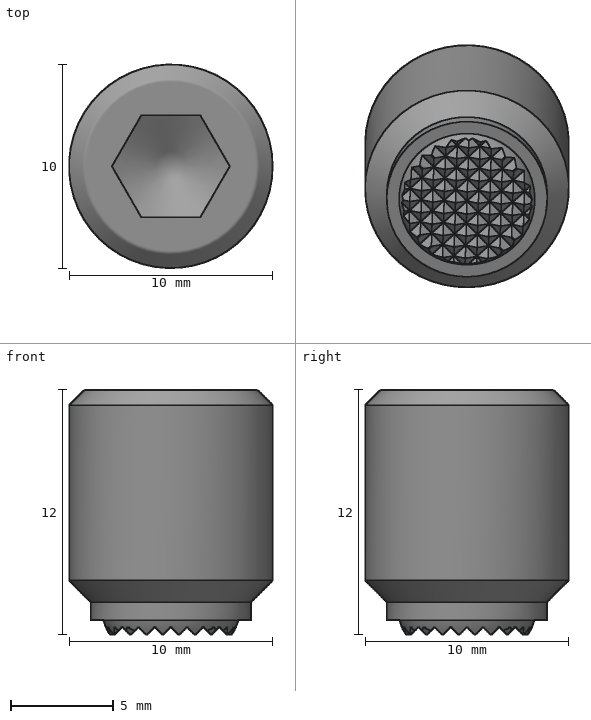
import cadquery as cq
import math

screw_diameter = 10.0
total_height = 12.0
screw_radius = screw_diameter / 2
nose_bottom = 0.72
nose_height = 0.88
nose_radius = 3.94
top_chamfer = 0.75
top_round_radius = 0.24
nose_top = nose_bottom + nose_height
shoulder_top = nose_top + screw_radius - nose_radius

socket_across_flats = 5.0
socket_wall_depth = 4.0
drill_point_angle = 120.0
socket_across_corners = socket_across_flats / math.cos(math.radians(30))
drill_point_radius = socket_across_corners / 2
drill_point_depth = drill_point_radius / math.tan(math.radians(drill_point_angle / 2))

ball_radius = 3.5
ball_flat_radius = 3.0
ball_center_height = math.sqrt(ball_radius**2 - ball_flat_radius**2)
groove_pitch = 0.79
groove_depth = 0.37
grooves_each_side = 3


def make_ball_blank():
    """Full sphere, seated at its height on the screw axis."""
    return cq.Workplane("XY").sphere(ball_radius).translate((0, 0, ball_center_height))


def make_screw_blank():
    """Turned screw body with a nose, a 45 degree shoulder and a rounded top chamfer."""
    blank = (
        cq.Workplane("XZ")
        .moveTo(0, nose_bottom)
        .lineTo(nose_radius, nose_bottom)
        .lineTo(nose_radius, nose_top)
        .lineTo(screw_radius, shoulder_top)
        .lineTo(screw_radius, total_height - top_chamfer)
        .lineTo(screw_radius - top_chamfer, total_height)
        .lineTo(0, total_height)
        .close()
        .revolve(360, (0, 0, 0), (0, 1, 0))
    )
    return blank.faces(">Z").edges().fillet(top_round_radius)


def make_socket_cutter():
    """Hexagonal prism with corners on the X axis, ending in a drill-point cone."""
    wall_bottom = total_height - socket_wall_depth
    cone_bottom = wall_bottom - drill_point_depth
    hexagon = (
        cq.Workplane("XY")
        .workplane(offset=cone_bottom)
        .polygon(6, socket_across_corners)
        .extrude(total_height - cone_bottom)
    )
    drill = (
        cq.Workplane("XZ")
        .moveTo(0, cone_bottom)
        .lineTo(drill_point_radius, wall_bottom)
        .lineTo(drill_point_radius, total_height)
        .lineTo(0, total_height)
        .close()
        .revolve(360, (0, 0, 0), (0, 1, 0))
    )
    return hexagon.intersect(drill)


def make_screw():
    return make_screw_blank().cut(make_socket_cutter()).cut(make_ball_blank())


def make_groove_cutter(offset):
    """90 degree V groove along Y at the given X offset, open at the flat of the ball."""
    return (
        cq.Workplane("XZ")
        .moveTo(offset - groove_depth, 0)
        .lineTo(offset, groove_depth)
        .lineTo(offset + groove_depth, 0)
        .close()
        .extrude(ball_radius, both=True)
    )


def make_ball():
    """Ball cut flat at height zero, with two crossing rows of V grooves."""
    below_flat = cq.Workplane("XY").box(
        2 * ball_radius, 2 * ball_radius, ball_radius, centered=(True, True, False)
    ).translate((0, 0, -ball_radius))
    ball = make_ball_blank().cut(below_flat)
    for index in range(-grooves_each_side, grooves_each_side + 1):
        groove = make_groove_cutter(index * groove_pitch)
        ball = ball.cut(groove)
        ball = ball.cut(groove.rotate((0, 0, 0), (0, 0, 1), 90))
    return ball


screw = make_screw()
ball = make_ball()

result = cq.Compound.makeCompound([screw.solids().val(), ball.solids().val()])